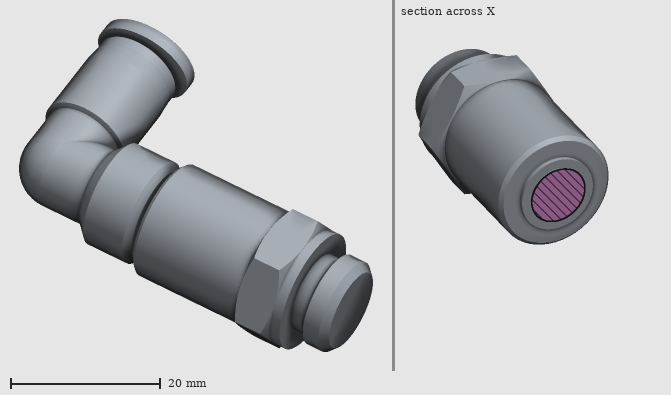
import cadquery as cq
import math


ELBOW_D = 11.0
SWIVEL_D = 15.0
SWIVEL_END_D = 13.15
SWIVEL_CONE_START = 6.3
SWIVEL_CONE_END = 8.25
SWIVEL_END = 15.25
SWIVEL_CHAMFER = (SWIVEL_D - SWIVEL_END_D) / 2

TUBE_HOUSING_D = 12.4
TUBE_HOUSING_CONE_START = 6.0
TUBE_HOUSING_START = 6.35
TUBE_TAPER_START = 16.05
TUBE_HOUSING_END = 18.05
TUBE_TAPER_END_D = 12.05

GUIDE_D = 11.9
GUIDE_END = 19.85

BUTTON_NECK_D = 7.9
BUTTON_WIDTH = 14.05
BUTTON_HEIGHT = 11.9
BUTTON_START = 21.0
BUTTON_END = 23.0
EDGE_ROUND = 0.2

STEM_D = 8.0
SHOULDER_D = 10.6
SHOULDER_START = 15.5
SLEEVE_D = 16.5
HEX_FACE_D = 16.8
SLEEVE_START = 16.2
SLEEVE_CHAMFER = 0.55
HEX_ACROSS_FLATS = 17.0
HEX_START = 32.7
HEX_END = 38.3
HEX_CHAMFER_ANGLE = 30
COLLAR_END = 39.7
RELIEF_D = 11.2
RELIEF_END = 41.65
THREAD_D = 13.3
THREAD_START = 42.25
OVERALL_LENGTH = 52.75
SOCKET_END = OVERALL_LENGTH - BUTTON_WIDTH / 2
THREAD_CHAMFER = (THREAD_D - RELIEF_D) / 2


def rod_x(diameter, start, end):
    """Cylinder on the swivel axis between two X positions."""
    return cq.Workplane("YZ", origin=(start, 0, 0)).circle(diameter / 2).extrude(end - start)


def rod_y(diameter, start, end):
    """Cylinder on the tube axis between two Y positions."""
    return cq.Workplane("XZ", origin=(0, start, 0)).circle(diameter / 2).extrude(start - end)


def cone_x(start_diameter, end_diameter, start, end):
    """Truncated cone on the swivel axis between two X positions."""
    outline = [(start, 0), (start, start_diameter / 2), (end, end_diameter / 2), (end, 0)]
    return cq.Workplane("XY").polyline(outline).close().revolve(360, (0, 0), (1, 0))


def cone_y(start_diameter, end_diameter, start, end):
    """Truncated cone on the tube axis between two Y positions."""
    outline = [(0, start), (start_diameter / 2, start), (end_diameter / 2, end), (0, end)]
    return cq.Workplane("XY").polyline(outline).close().revolve(360, (0, 0), (0, 1))


def make_elbow():
    ball = cq.Workplane("XY").sphere(ELBOW_D / 2)
    swivel_arm = rod_x(ELBOW_D, 0, SWIVEL_CONE_START)
    tube_arm = rod_y(ELBOW_D, 0, TUBE_HOUSING_CONE_START)
    swivel_cone = cone_x(ELBOW_D, SWIVEL_D, SWIVEL_CONE_START, SWIVEL_CONE_END)
    swivel = rod_x(SWIVEL_D, SWIVEL_CONE_END, SWIVEL_END).faces(">X").chamfer(SWIVEL_CHAMFER)
    tube_housing = rod_y(TUBE_HOUSING_D, TUBE_HOUSING_START, TUBE_TAPER_START)
    tube_cone = cone_y(ELBOW_D, TUBE_HOUSING_D, TUBE_HOUSING_CONE_START, TUBE_HOUSING_START)
    tube_taper = cone_y(TUBE_HOUSING_D, TUBE_TAPER_END_D, TUBE_TAPER_START, TUBE_HOUSING_END)
    arms = swivel_arm.union(tube_arm).union(ball)
    swivel_side = swivel_cone.union(swivel)
    tube_side = tube_cone.union(tube_housing).union(tube_taper)
    return arms.union(swivel_side).union(tube_side)


def make_collet_guide():
    guide = rod_y(GUIDE_D, TUBE_HOUSING_END, GUIDE_END)
    return guide.faces(">Y").edges().fillet(EDGE_ROUND)


def make_release_button():
    """Oval push flange on a round neck that stands on the collet guide."""
    neck = rod_y(BUTTON_NECK_D, GUIDE_END, BUTTON_START)
    flange = (
        cq.Workplane("XZ", origin=(0, BUTTON_START, 0))
        .ellipse(BUTTON_WIDTH / 2, BUTTON_HEIGHT / 2)
        .extrude(BUTTON_START - BUTTON_END)
        .faces(">Y")
        .edges()
        .fillet(EDGE_ROUND)
    )
    return flange.union(neck)


def make_hex():
    """Hexagon with corners toward +Y and -Y, both ends turned to a 30 degree chamfer."""
    across_corners = HEX_ACROSS_FLATS / math.cos(math.pi / 6)
    prism = (
        cq.Workplane("YZ", origin=(HEX_START, 0, 0))
        .polygon(6, across_corners)
        .extrude(HEX_END - HEX_START)
    )
    chamfer_height = (across_corners - HEX_FACE_D) / 2
    chamfer_length = chamfer_height * math.tan(math.radians(HEX_CHAMFER_ANGLE))
    near_cone = cone_x(HEX_FACE_D, across_corners, HEX_START, HEX_START + chamfer_length)
    far_cone = cone_x(across_corners, HEX_FACE_D, HEX_END - chamfer_length, HEX_END)
    middle = rod_x(across_corners, HEX_START + chamfer_length, HEX_END - chamfer_length)
    return prism.intersect(near_cone.union(middle).union(far_cone))


def make_socket():
    stem = rod_x(STEM_D, SWIVEL_END, SHOULDER_START)
    shoulder = rod_x(SHOULDER_D, SHOULDER_START, SLEEVE_START)
    sleeve = rod_x(SLEEVE_D, SLEEVE_START, HEX_START).faces("<X").chamfer(SLEEVE_CHAMFER)
    collar = rod_x(HEX_ACROSS_FLATS, HEX_END, COLLAR_END)
    relief = rod_x(RELIEF_D, COLLAR_END, RELIEF_END)
    relief_cone = cone_x(RELIEF_D, THREAD_D, RELIEF_END, THREAD_START)
    thread = rod_x(THREAD_D, THREAD_START, SOCKET_END).faces(">X").chamfer(THREAD_CHAMFER)
    front = stem.union(shoulder).union(sleeve).union(make_hex())
    return front.union(collar).union(relief).union(relief_cone).union(thread)


elbow = make_elbow()
collet_guide = make_collet_guide()
release_button = make_release_button()
socket = make_socket()

bodies = [elbow, collet_guide, release_button, socket]
result = cq.Compound.makeCompound([body.solids().val() for body in bodies])